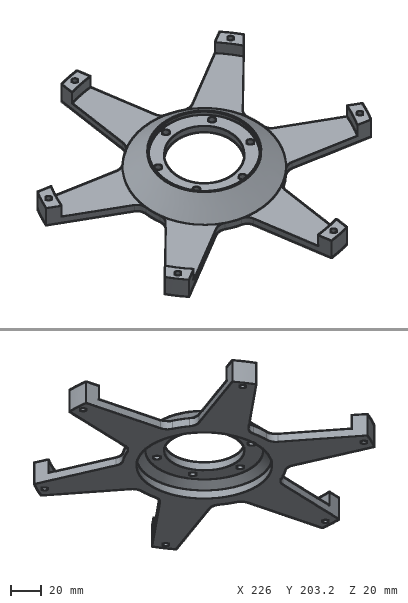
import cadquery as cq
import math

full_turn = 360.0

arm_count = 6
arm_thickness = 6.0
tip_radius = 113.0
arm_tip_half_width = 8.0
arm_root_half_width = 16.8
arm_start = 40.0
arm_overshoot = 10.0
root_fillet = 8.0

pad_height = 16.0
pad_length = 10.0
pad_hole_diameter = 4.2
pad_inner_radius = tip_radius - pad_length
pad_hole_radius = tip_radius - pad_length / 2

hub_height = 20.0
hub_base_radius = 53.0
rim_width = 1.0
recess_diameter = 72.0
recess_depth = 3.0
flange_thickness = 6.0
bore_diameter = 52.0
flange_hole_diameter = 5.0
flange_hole_radius = 32.0

recess_radius = recess_diameter / 2
bore_radius = bore_diameter / 2
rim_radius = recess_radius + rim_width
flange_top = hub_height - recess_depth
flange_bottom = flange_top - flange_thickness

cone_slope = (hub_base_radius - rim_radius) / (hub_height - arm_thickness)
hub_wall = 6.0
wall_across = hub_wall * math.hypot(1, cone_slope)
cavity_base_radius = hub_base_radius - wall_across
cavity_top_radius = cavity_base_radius - (flange_bottom - arm_thickness) * cone_slope


def polar_cylinders(diameter, pitch_radius, height):
    """One cylinder per arm, on a circle about the part axis, standing on the base."""
    return (
        cq.Workplane("XY")
        .polarArray(pitch_radius, 0, full_turn, arm_count)
        .circle(diameter / 2)
        .extrude(height)
    )


def arms(height):
    """All the tapered arms, running straight past the tip radius."""
    tip_x = math.sqrt(tip_radius**2 - arm_tip_half_width**2)
    taper = (arm_root_half_width - arm_tip_half_width) / (tip_x - hub_base_radius)
    start_half_width = arm_root_half_width + (hub_base_radius - arm_start) * taper
    end_x = tip_radius + arm_overshoot
    end_half_width = arm_tip_half_width - (end_x - tip_x) * taper
    blank = (
        cq.Workplane("XY")
        .moveTo(arm_start, -start_half_width)
        .lineTo(end_x, -end_half_width)
        .lineTo(end_x, end_half_width)
        .lineTo(arm_start, start_half_width)
        .close()
        .extrude(height)
    )
    group = blank
    for index in range(1, arm_count):
        angle = index * full_turn / arm_count
        group = group.union(blank.rotate((0, 0, 0), (0, 0, 1), angle))
    return group


def make_plate():
    """Hub disc and arms, blended at the roots and trimmed to the tip radius."""
    disc = cq.Workplane("XY").circle(hub_base_radius).extrude(arm_thickness)
    trim = cq.Workplane("XY").circle(tip_radius).extrude(arm_thickness)
    plate = disc.union(arms(arm_thickness)).intersect(trim)
    reach = hub_base_radius + root_fillet
    root_box = cq.selectors.BoxSelector((-reach, -reach, 0), (reach, reach, arm_thickness))
    return plate.edges("|Z").edges(root_box).fillet(root_fillet)


def make_pads():
    """Raised end blocks between two concentric radii, as wide as the arms."""
    ring = cq.Workplane("XY").circle(tip_radius).circle(pad_inner_radius).extrude(pad_height)
    return arms(pad_height).intersect(ring)


def make_cone():
    """Solid cone frustum standing on the hub disc."""
    return (
        cq.Workplane("XZ")
        .moveTo(0, arm_thickness)
        .lineTo(hub_base_radius, arm_thickness)
        .lineTo(rim_radius, hub_height)
        .lineTo(0, hub_height)
        .close()
        .revolve(full_turn, (0, 0, 0), (0, 1, 0))
    )


def make_hub_void():
    """Underside cavity, central bore and top recess as one turned shape."""
    return (
        cq.Workplane("XZ")
        .lineTo(cavity_base_radius, 0)
        .lineTo(cavity_base_radius, arm_thickness)
        .lineTo(cavity_top_radius, flange_bottom)
        .lineTo(bore_radius, flange_bottom)
        .lineTo(bore_radius, flange_top)
        .lineTo(recess_radius, flange_top)
        .lineTo(recess_radius, hub_height)
        .lineTo(0, hub_height)
        .close()
        .revolve(full_turn, (0, 0, 0), (0, 1, 0))
    )


body = make_plate().union(make_pads()).union(make_cone())
body = body.cut(make_hub_void())
body = body.cut(polar_cylinders(flange_hole_diameter, flange_hole_radius, hub_height))
result = body.cut(polar_cylinders(pad_hole_diameter, pad_hole_radius, pad_height))